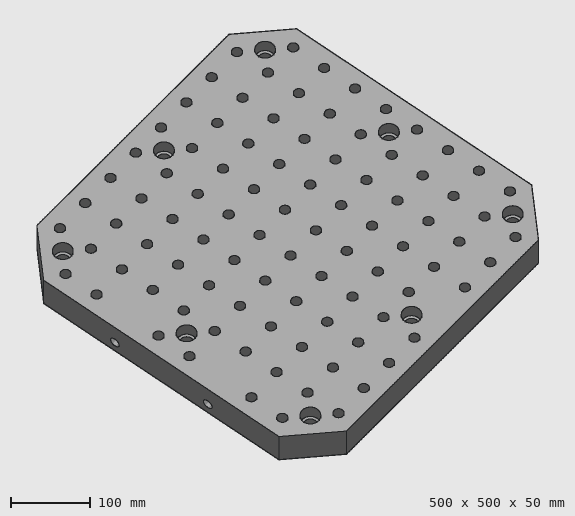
import cadquery as cq
import math

plate_side = 500.0
plate_thickness = 50.0
corner_cut = 60.0

grid_count = 10
grid_pitch = 50.0
grid_hole_diameter = 14.0
omitted_grid_hole = (4.5 * grid_pitch, 0.5 * grid_pitch)

mount_offset = 200.0
mount_hole_diameter = 18.0
counterbore_diameter = 26.0
counterbore_depth = 20.0

side_hole_offset = 1.5 * grid_pitch
side_hole_diameter = 14.0
side_hole_height = 18.0
side_hole_depth = 40.0
drill_tip_angle = 118.0


def grid_hole_points():
    """Grid positions, without the corners, those above the side holes and the omitted one."""
    edge = (grid_count - 1) * grid_pitch / 2
    steps = [i * grid_pitch - edge for i in range(grid_count)]
    points = []
    for x in steps:
        for y in steps:
            at_corner = abs(x) == edge and abs(y) == edge
            above_side_hole = y == -edge and abs(x) == side_hole_offset
            omitted = (x, y) == omitted_grid_hole
            if not (at_corner or above_side_hole or omitted):
                points.append((x, y))
    return points


def mount_hole_points():
    """Corners and edge middles of a square about the plate center."""
    steps = (-mount_offset, 0, mount_offset)
    return [(x, y) for x in steps for y in steps if (x, y) != (0, 0)]


def side_hole(x):
    """Blind hole with a conical drill tip, running from the front side into the plate."""
    radius = side_hole_diameter / 2
    tip_length = radius / math.tan(math.radians(drill_tip_angle / 2))
    mouth_y = -plate_side / 2
    shoulder_y = mouth_y + side_hole_depth
    return (
        cq.Workplane("XY", origin=(x, 0, side_hole_height))
        .moveTo(0, mouth_y)
        .lineTo(radius, mouth_y)
        .lineTo(radius, shoulder_y)
        .lineTo(0, shoulder_y + tip_length)
        .close()
        .revolve(360, (0, 0), (0, 1))
    )


plate = (
    cq.Workplane("XY")
    .rect(plate_side, plate_side)
    .extrude(plate_thickness)
    .edges("|Z")
    .chamfer(corner_cut)
)
plate = plate.faces(">Z").workplane().pushPoints(grid_hole_points()).hole(grid_hole_diameter)
plate = (
    plate.faces(">Z")
    .workplane(origin=(0, 0, plate_thickness))
    .pushPoints(mount_hole_points())
    .cboreHole(mount_hole_diameter, counterbore_diameter, counterbore_depth)
)

for side_hole_x in (-side_hole_offset, side_hole_offset):
    plate = plate.cut(side_hole(side_hole_x))

result = plate